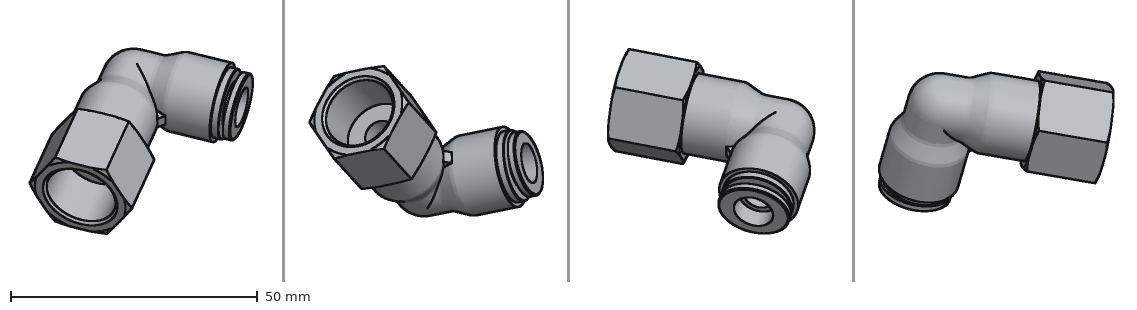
import cadquery as cq
import math


arm_length = 19.0
neck_dia = 13.03
barrel_dia = 16.6
cone_start = 5.25
cone_end = 9.22
cone_blend_radius = 2.0
passage_dia = 6.0
web_thickness = 2.5
web_reach = 9.6

hex_sides = 6
hex_flats = 19.0
hex_length = 15.0
hex_chamfer_dia = 19.37
hex_chamfer_depth = 0.42
thread_dia = 14.7
thread_depth = 11.0
thread_taper = 1 / 16
thread_mouth_dia = 15.95
thread_mouth_depth = (thread_mouth_dia - thread_dia) / 2
nut_hole_dia = 6.4

ring_dia = 14.7
ring_length = 1.6
ring_chamfer = 0.13
collar_neck_dia = 9.6
collar_bore_dia = 8.2
collar_gap = 0.97
flange_width = 14.9
flange_height = 12.95
flange_thickness = 1.52
flange_chamfer = 0.25


def rod(diameter, start, length):
    """Round bar along +X."""
    return cq.Workplane("YZ", origin=(start, 0, 0)).circle(diameter / 2).extrude(length)


def along_thread_axis(shape):
    """Turn a shape built along +X so that it runs along -Y."""
    return shape.rotate((0, 0, 0), (0, 0, 1), -90)


def make_arm():
    """Neck, blended cone and barrel of one arm, along +X."""
    neck_radius = neck_dia / 2
    barrel_radius = barrel_dia / 2
    profile = [
        (0, 0),
        (0, neck_radius),
        (cone_start, neck_radius),
        (cone_end, barrel_radius),
        (arm_length, barrel_radius),
        (arm_length, 0),
    ]
    arm = cq.Workplane("XY").polyline(profile).close().revolve(360, (0, 0), (1, 0))
    cone_edges = cq.selectors.BoxSelector(
        (cone_start - cone_blend_radius, -barrel_dia, -barrel_dia),
        (cone_end + cone_blend_radius, barrel_dia, barrel_dia),
    )
    return arm.edges("%CIRCLE").edges(cone_edges).fillet(cone_blend_radius)


def make_web():
    """Flat triangular web in the inner corner between the arms."""
    barrel_radius = barrel_dia / 2
    outline = [(0, 0), (web_reach, -barrel_radius), (barrel_radius, -web_reach)]
    web = cq.Workplane("XY").polyline(outline).close()
    return web.extrude(web_thickness / 2, both=True)


def make_elbow():
    arm = make_arm()
    corner = cq.Workplane("XY").sphere(neck_dia / 2)
    elbow = arm.union(along_thread_axis(arm)).union(corner).union(make_web())

    passage = rod(passage_dia, 0, arm_length)
    passage_corner = cq.Workplane("XY").sphere(passage_dia / 2)
    passage = passage.union(along_thread_axis(passage)).union(passage_corner)
    return elbow.cut(passage)


def make_hex_blank():
    """Hexagon bar along +X with its corners chamfered at both ends, corners on +Y and -Y."""
    corner_radius = hex_flats / 2 / math.cos(math.pi / hex_sides)
    blank = (
        cq.Workplane("YZ", origin=(arm_length, 0, 0))
        .polygon(hex_sides, 2 * corner_radius)
        .extrude(hex_length)
    )
    start = arm_length
    end = arm_length + hex_length
    face_radius = hex_chamfer_dia / 2
    envelope_profile = [
        (start, 0),
        (start, face_radius),
        (start + hex_chamfer_depth, corner_radius),
        (end - hex_chamfer_depth, corner_radius),
        (end, face_radius),
        (end, 0),
    ]
    envelope = cq.Workplane("XY").polyline(envelope_profile).close().revolve(360, (0, 0), (1, 0))
    return blank.intersect(envelope)


def make_nut():
    mouth = arm_length + hex_length
    thread_start = mouth - thread_mouth_depth
    thread_end = mouth - thread_depth
    floor_dia = thread_dia - (thread_start - thread_end) * thread_taper
    bore_profile = [
        (arm_length, 0),
        (arm_length, nut_hole_dia / 2),
        (thread_end, nut_hole_dia / 2),
        (thread_end, floor_dia / 2),
        (thread_start, thread_dia / 2),
        (mouth, thread_mouth_dia / 2),
        (mouth, 0),
    ]
    bore = cq.Workplane("XY").polyline(bore_profile).close().revolve(360, (0, 0), (1, 0))
    return along_thread_axis(make_hex_blank().cut(bore))


def make_guide_ring():
    ring = rod(ring_dia, arm_length, ring_length).faces(">X").edges().chamfer(ring_chamfer)
    return ring.cut(rod(collar_neck_dia, arm_length, ring_length))


def make_release_collar():
    """Tubular neck inside the guide ring with an oval push flange."""
    neck_length = ring_length + collar_gap
    flange = (
        cq.Workplane("YZ", origin=(arm_length + neck_length, 0, 0))
        .ellipse(flange_width / 2, flange_height / 2)
        .extrude(flange_thickness)
        .faces(">X").edges().chamfer(flange_chamfer)
    )
    collar = rod(collar_neck_dia, arm_length, neck_length).union(flange)
    return collar.cut(rod(collar_bore_dia, arm_length, neck_length + flange_thickness))


elbow = make_elbow()
nut = make_nut()
guide_ring = make_guide_ring()
release_collar = make_release_collar()

result = cq.Compound.makeCompound(
    [elbow.val(), nut.val(), guide_ring.val(), release_collar.val()]
)